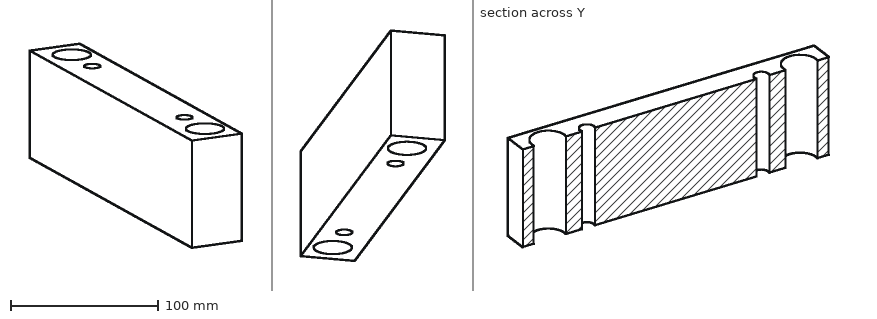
import cadquery as cq

length = 246.0
width = 38.0
height = 76.0

large_hole_diameter = 26.0
large_hole_spacing = 202.0
small_hole_diameter = 11.0
small_hole_spacing = 140.0
back_face_to_hole_row = 17.0
hole_row_y = width / 2 - back_face_to_hole_row


def make_block():
    """Plain rectangular block centred on the origin."""
    return cq.Workplane("XY").box(length, width, height)


def cut_hole_pair(body, diameter, spacing):
    """Cut two vertical through holes, spaced along X on the hole row."""
    centers = [(side * spacing / 2, hole_row_y) for side in (-1, 1)]
    return body.faces(">Z").workplane(origin=(0, 0, 0)).pushPoints(centers).hole(diameter)


result = make_block()
result = cut_hole_pair(result, large_hole_diameter, large_hole_spacing)
result = cut_hole_pair(result, small_hole_diameter, small_hole_spacing)